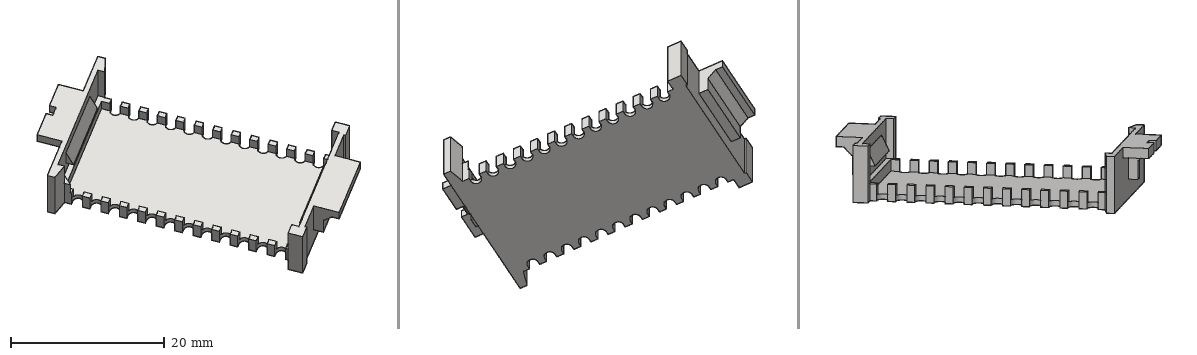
import cadquery as cq

LENGTH = 41.5
HEIGHT = 7.6
WALL = 0.75

TRAY_START = 4.15
TRAY_END = 37.3
TRAY_HALF_WIDTH = 8.3
RIM_HEIGHT = 2.3
FLOOR = 0.75

SLOT_COUNT = 12
SLOT_SPAN = 27.95
SLOT_PITCH = SLOT_SPAN / (SLOT_COUNT - 1)
SLOT_RADIUS = 0.75
SLOT_DEPTH = 1.25
SLOT_ROW_CENTRE = (TRAY_START + TRAY_END) / 2

LEFT_FACE = TRAY_START - WALL
LEFT_HALF_WIDTH = 10.5
LEFT_TIP_THICKNESS = 1.05
LEFT_ROOT_THICKNESS = 1.65

RIGHT_FACE = TRAY_END + WALL
RIGHT_HALF_WIDTH = 9.8
BLOCK_START = 36.3
BLOCK_END = 38.3
BLOCK_INNER_Y = 8.05

TAB_WIDTH = 8.9
TAB_THICKNESS = 1.35
NOTCH_WIDTH = 1.35
NOTCH_DEPTH = 0.9
BRACKET_BOTTOM = 2.6
BRACKET_BEND = 5.05
BRACKET_FOOT_INSET = 2.15
BRACKET_TOP_INSET = BRACKET_FOOT_INSET - (HEIGHT - TAB_THICKNESS - BRACKET_BEND)

WEDGE_LENGTH = 9.95
WEDGE_REACH = 1.05
WEDGE_BOTTOM = 4.0
WEDGE_TOP = 6.05

KEY_LEG = 1.75
KEY_HEIGHT = 4.0


def box(x_min, x_max, y_min, y_max, z_min, z_max):
    size = (x_max - x_min, y_max - y_min, z_max - z_min)
    return cq.Workplane("XY").box(*size, centered=False).translate((x_min, y_min, z_min))


def centred_box(x_min, x_max, width, z_min, z_max):
    return box(x_min, x_max, -width / 2, width / 2, z_min, z_max)


def side_profile(points, width):
    """Extrude an XZ outline evenly to both sides of Y = 0."""
    return cq.Workplane("XZ").polyline(points).close().extrude(width / 2, both=True)


def make_tray():
    tray = centred_box(TRAY_START, TRAY_END, 2 * TRAY_HALF_WIDTH, 0, RIM_HEIGHT)
    cavity_width = 2 * (TRAY_HALF_WIDTH - WALL)
    tray = tray.cut(centred_box(TRAY_START + WALL, TRAY_END - WALL, cavity_width, FLOOR, RIM_HEIGHT))

    slot_bottom = TRAY_HALF_WIDTH - SLOT_DEPTH
    slot_length = 2 * SLOT_DEPTH
    first_slot = SLOT_ROW_CENTRE - SLOT_SPAN / 2
    slot_centres = [
        (first_slot + i * SLOT_PITCH, side * (slot_bottom + slot_length / 2))
        for i in range(SLOT_COUNT)
        for side in (-1, 1)
    ]
    slots = cq.Workplane("XY").pushPoints(slot_centres).slot2D(slot_length, 2 * SLOT_RADIUS, 90)
    return tray.cut(slots.extrude(RIM_HEIGHT))


def make_key_post():
    corner = cq.Workplane("XY").moveTo(TRAY_START, -TRAY_HALF_WIDTH)
    return corner.line(KEY_LEG, 0).line(-KEY_LEG, KEY_LEG).close().extrude(KEY_HEIGHT)


def make_left_plate():
    root = LEFT_FACE + LEFT_ROOT_THICKNESS
    tip = LEFT_FACE + LEFT_TIP_THICKNESS
    outline = [
        (LEFT_FACE, -LEFT_HALF_WIDTH),
        (tip, -LEFT_HALF_WIDTH),
        (root, -TRAY_HALF_WIDTH),
        (TRAY_START, -TRAY_HALF_WIDTH),
        (TRAY_START, TRAY_HALF_WIDTH),
        (root, TRAY_HALF_WIDTH),
        (tip, LEFT_HALF_WIDTH),
        (LEFT_FACE, LEFT_HALF_WIDTH),
    ]
    return cq.Workplane("XY").polyline(outline).close().extrude(HEIGHT)


def make_right_plate():
    plate = centred_box(BLOCK_START, BLOCK_END, 2 * RIGHT_HALF_WIDTH, 0, HEIGHT)
    inner_recess = centred_box(BLOCK_START, TRAY_END, 2 * TRAY_HALF_WIDTH, 0, HEIGHT)
    outer_recess = centred_box(RIGHT_FACE, BLOCK_END, 2 * BLOCK_INNER_Y, 0, HEIGHT)
    return plate.cut(inner_recess).cut(outer_recess)


def make_bracket(tab_tip, plate_face, direction, width):
    """Bracket under a tab; direction points from the tab tip towards the plate."""
    foot = tab_tip + direction * BRACKET_FOOT_INSET
    top = tab_tip + direction * BRACKET_TOP_INSET
    tab_underside = HEIGHT - TAB_THICKNESS
    outline = [
        (plate_face, BRACKET_BOTTOM),
        (foot, BRACKET_BOTTOM),
        (foot, BRACKET_BEND),
        (top, tab_underside),
        (plate_face, tab_underside),
    ]
    return side_profile(outline, width)


def make_left_tab():
    tab = centred_box(0, LEFT_FACE, TAB_WIDTH, HEIGHT - TAB_THICKNESS, HEIGHT)
    tab = tab.cut(centred_box(0, NOTCH_DEPTH, NOTCH_WIDTH, 0, HEIGHT))
    return tab.union(make_bracket(0, LEFT_FACE, 1, NOTCH_WIDTH))


def make_right_tab():
    tab = centred_box(RIGHT_FACE, LENGTH, TAB_WIDTH, HEIGHT - TAB_THICKNESS, HEIGHT)
    return tab.union(make_bracket(LENGTH, RIGHT_FACE, -1, TAB_WIDTH))


def make_wedge(plate_face, direction):
    """Snap wedge with a flat underside, reaching from the plate over the tray."""
    outline = [
        (plate_face, WEDGE_BOTTOM),
        (plate_face + direction * WEDGE_REACH, WEDGE_BOTTOM),
        (plate_face, WEDGE_TOP),
    ]
    return side_profile(outline, WEDGE_LENGTH)


result = (
    make_tray()
    .union(make_key_post())
    .union(make_left_plate())
    .union(make_right_plate())
    .union(make_left_tab())
    .union(make_right_tab())
    .union(make_wedge(TRAY_START, 1))
    .union(make_wedge(TRAY_END, -1))
)